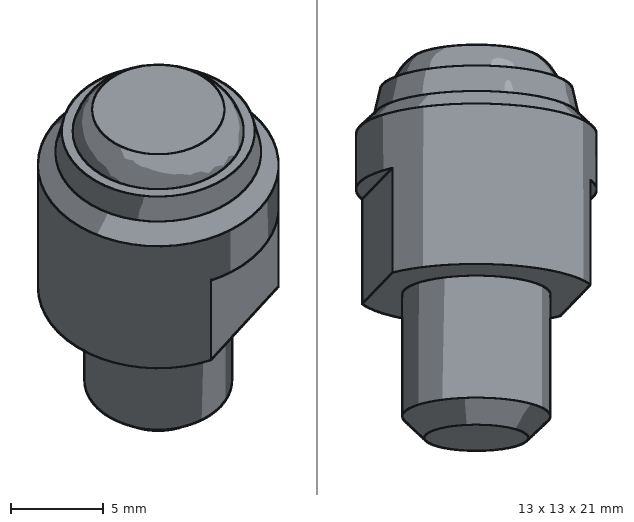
import cadquery as cq
import math

total_height = 21.0

pin_radius = 8.0 / 2
pin_length = 8.0
pin_chamfer = 1.2

body_radius = 13.0 / 2
body_chamfer_start = 16.95
body_chamfer = 0.95
flat_distance = 5.5
flat_top = 13.84

collar_base_z = body_chamfer_start + body_chamfer
collar_base_radius = body_radius - body_chamfer
collar_top_z = 19.4
collar_top_radius = 5.2

nose_base_radius = 4.62
nose_top_radius = 3.57
nose_bulge = 0.17


def nose_arc_middle():
    """Point of the nose arc farthest from its chord, as (radius, z)."""
    chord_r = nose_top_radius - nose_base_radius
    chord_z = total_height - collar_top_z
    chord = math.hypot(chord_r, chord_z)
    middle_r = (nose_base_radius + nose_top_radius) / 2
    middle_z = (collar_top_z + total_height) / 2
    return (
        middle_r + nose_bulge * chord_z / chord,
        middle_z - nose_bulge * chord_r / chord,
    )


def turned_body():
    """Revolve the half section (radius, z) about the Z axis."""
    return (
        cq.Workplane("XZ")
        .lineTo(pin_radius - pin_chamfer, 0)
        .lineTo(pin_radius, pin_chamfer)
        .lineTo(pin_radius, pin_length)
        .lineTo(body_radius, pin_length)
        .lineTo(body_radius, body_chamfer_start)
        .lineTo(collar_base_radius, collar_base_z)
        .lineTo(collar_top_radius, collar_top_z)
        .lineTo(nose_base_radius, collar_top_z)
        .threePointArc(nose_arc_middle(), (nose_top_radius, total_height))
        .lineTo(0, total_height)
        .close()
        .revolve(360, (0, 0, 0), (0, 1, 0))
    )


def flat_cutter(side):
    """Block outside one wrench flat; side is -1 or +1 along X."""
    depth = body_radius
    return cq.Workplane("XY").box(
        depth, 2 * body_radius, flat_top - pin_length, centered=(True, True, False)
    ).translate((side * (flat_distance + depth / 2), 0, pin_length))


result = turned_body()
for side in (-1, 1):
    result = result.cut(flat_cutter(side))